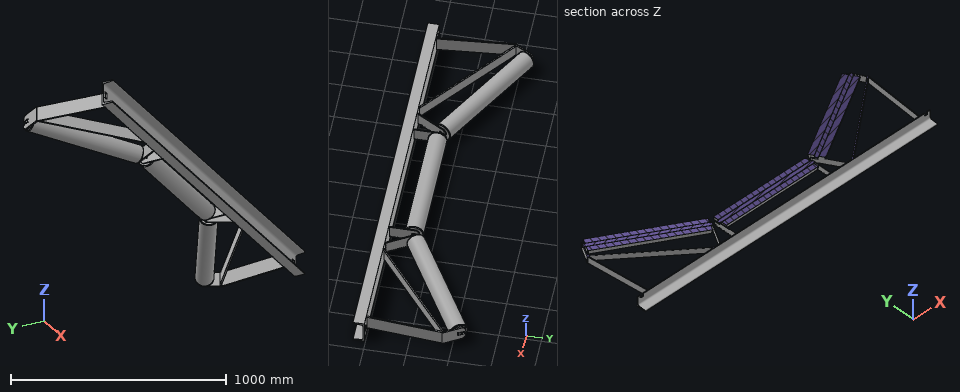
import cadquery as cq
import math


CHANNEL_LENGTH = 1900.0
CHANNEL_HEIGHT = 120.0
FLANGE_WIDTH = 55.0
WEB_THICKNESS = 7.0
FLANGE_MEAN_THICKNESS = 9.0
FLANGE_TAPER = 0.08
ROOT_RADIUS = 9.0
TOE_RADIUS = 4.5

SLOT_WIDTH = 17.0
SLOT_HEIGHT = 28.0
SLOT_END_DISTANCE = 27.0

ROLLER_DIAMETER = 90.0
ROLLER_LENGTH = 600.0
ROLLER_END_CHAMFER = 4.0
SHAFT_DIAMETER = 19.0
SHAFT_FLAT_WIDTH = 15.0
TROUGH_ANGLE = 30.0
CENTRE_ROLLER_Y = 114.0
WING_ROLLER_X = 605.0
WING_ROLLER_Y = 280.0

INNER_PLATE_WIDTH = 65.0
OUTER_PLATE_WIDTH = 75.0
INNER_PLATE_THICKNESS = 5.0
OUTER_PLATE_THICKNESS = 8.0
PLATE_GAP = 5.0
INNER_PLATE_ABOVE_AXIS = 27.0
OUTER_PLATE_ABOVE_AXIS = 28.0
PLATE_CORNER_CUT = 13.0
OUTER_PLATE_BELOW_AXIS = 87.0
LEG_FOOT_X = 882.0
BRACE_FOOT_X = 446.0
BRACE_ABOVE_LEG = 8.0
BRACE_WIDTH = 60.0

PLATE_ROOT_Y = -WEB_THICKNESS / 2
INNER_PLATE_OFFSET = ROLLER_LENGTH / 2 + PLATE_GAP + INNER_PLATE_THICKNESS / 2
OUTER_PLATE_OFFSET = ROLLER_LENGTH / 2 + PLATE_GAP + OUTER_PLATE_THICKNESS / 2
INNER_SHAFT_END = INNER_PLATE_OFFSET + INNER_PLATE_THICKNESS / 2
OUTER_SHAFT_END = OUTER_PLATE_OFFSET + OUTER_PLATE_THICKNESS / 2

ALONG = cq.Vector(math.cos(math.radians(TROUGH_ANGLE)), math.sin(math.radians(TROUGH_ANGLE)))
ACROSS = cq.Vector(-ALONG.y, ALONG.x)
WING_CENTRE = cq.Vector(WING_ROLLER_X, WING_ROLLER_Y)
CENTRE_ROLLER_CENTRE = cq.Vector(0, CENTRE_ROLLER_Y)
UP = cq.Vector(0, 1)


def mirrored(shape):
    return shape.mirror("YZ")


def place_on_wing(shape):
    """Move a body built along X about the origin to the right-hand wing position."""
    return shape.rotate((0, 0, 0), (0, 0, 1), TROUGH_ANGLE).translate(WING_CENTRE)



def channel():
    half_height = CHANNEL_HEIGHT / 2
    half_taper = FLANGE_TAPER * FLANGE_WIDTH / 2
    toe_z = half_height - FLANGE_MEAN_THICKNESS + half_taper
    root_z = toe_z - FLANGE_TAPER * (FLANGE_WIDTH - WEB_THICKNESS)
    body = (
        cq.Workplane("YZ", origin=(-CHANNEL_LENGTH / 2, 0, 0))
        .polyline([
            (0, -half_height),
            (0, half_height),
            (-FLANGE_WIDTH, half_height),
            (-FLANGE_WIDTH, toe_z),
            (-WEB_THICKNESS, root_z),
            (-WEB_THICKNESS, -root_z),
            (-FLANGE_WIDTH, -toe_z),
            (-FLANGE_WIDTH, -half_height),
        ])
        .close()
        .extrude(CHANNEL_LENGTH)
    )

    inside_corners = ((-WEB_THICKNESS, root_z, ROOT_RADIUS), (-FLANGE_WIDTH, toe_z, TOE_RADIUS))
    for y, z, radius in inside_corners:
        for side in (-1, 1):
            body = body.edges(cq.selectors.NearestToPointSelector((0, y, side * z))).fillet(radius)
    slots = (
        cq.Workplane("XZ")
        .pushPoints([(side * (CHANNEL_LENGTH / 2 - SLOT_END_DISTANCE), 0) for side in (-1, 1)])
        .rect(SLOT_WIDTH, SLOT_HEIGHT)
        .extrude(WEB_THICKNESS)
    )
    return body.cut(slots)


def plate(bottom, top, thickness, width):
    """A flat plate standing on edge, with the given centre line in the XY plane."""
    run = top - bottom
    return (
        cq.Workplane(cq.Plane(bottom, xDir=(0, 0, 1), normal=run))
        .rect(width, thickness)
        .extrude(run.Length)
    )


def shaft_plate(bottom, axis_point, above_axis, thickness, width):
    """A plate with clipped top corners and an open-topped slot that holds a shaft end."""
    up = (axis_point - bottom).normalized()
    top = axis_point + up * above_axis
    slot_bottom = axis_point - up * (SHAFT_DIAMETER / 2)
    top_face = cq.selectors.DirectionMinMaxSelector(up)
    blank = plate(bottom, top, thickness, width)
    clipped = blank.faces(top_face).edges("<Z or >Z").chamfer(PLATE_CORNER_CUT)
    return clipped.cut(plate(slot_bottom, top, thickness, SHAFT_FLAT_WIDTH))


def inner_plate(axis_point, up):
    bottom = foot_on_web(axis_point, up)
    return shaft_plate(
        bottom, axis_point, INNER_PLATE_ABOVE_AXIS, INNER_PLATE_THICKNESS, INNER_PLATE_WIDTH
    )


def outer_plate(axis_point, up):
    bottom = axis_point - up * OUTER_PLATE_BELOW_AXIS
    return shaft_plate(
        bottom, axis_point, OUTER_PLATE_ABOVE_AXIS, OUTER_PLATE_THICKNESS, OUTER_PLATE_WIDTH
    )


def foot_on_web(point, direction):
    """Where a line through the point meets the middle of the web."""
    return point - direction * ((point.y - PLATE_ROOT_Y) / direction.y)


def right_plates():
    centre_end = CENTRE_ROLLER_CENTRE + cq.Vector(INNER_PLATE_OFFSET, 0)
    wing_inner_end = WING_CENTRE - ALONG * INNER_PLATE_OFFSET
    wing_outer_end = WING_CENTRE + ALONG * OUTER_PLATE_OFFSET

    outer_plate_bottom = wing_outer_end - ACROSS * OUTER_PLATE_BELOW_AXIS
    leg_top = outer_plate_bottom + ACROSS * (OUTER_PLATE_THICKNESS / 2) - ALONG * (OUTER_PLATE_THICKNESS / 4)
    brace_top = leg_top + ACROSS * BRACE_ABOVE_LEG
    leg_foot = cq.Vector(LEG_FOOT_X, PLATE_ROOT_Y)
    brace_foot = cq.Vector(BRACE_FOOT_X, PLATE_ROOT_Y)
    return [
        inner_plate(centre_end, UP),
        inner_plate(wing_inner_end, ACROSS),
        outer_plate(wing_outer_end, ACROSS),
        plate(leg_foot, leg_top, OUTER_PLATE_THICKNESS, OUTER_PLATE_WIDTH),
        plate(brace_foot, brace_top, OUTER_PLATE_THICKNESS, BRACE_WIDTH),
    ]


def build_frame():
    body = channel()
    for piece in right_plates():
        body = body.union(piece).union(mirrored(piece))
    return body



def build_roller():
    return (
        cq.Workplane("YZ", origin=(-ROLLER_LENGTH / 2, 0, 0))
        .circle(ROLLER_DIAMETER / 2)
        .extrude(ROLLER_LENGTH)
        .faces("<X or >X")
        .chamfer(ROLLER_END_CHAMFER)
        .faces("<X")
        .workplane(centerOption="CenterOfBoundBox")
        .hole(SHAFT_DIAMETER)
    )


def build_shaft(left_end, right_end):
    """A round shaft whose ends, beyond the roller, carry two flats."""
    shaft = (
        cq.Workplane("YZ", origin=(-left_end, 0, 0))
        .circle(SHAFT_DIAMETER / 2)
        .extrude(left_end + right_end)
    )
    round_part = cq.Workplane().box(ROLLER_LENGTH, SHAFT_DIAMETER, SHAFT_DIAMETER)
    flat_part = cq.Workplane().box(2 * OUTER_SHAFT_END, SHAFT_DIAMETER, SHAFT_FLAT_WIDTH)
    return shaft.intersect(round_part.union(flat_part))


frame = build_frame()

centre_roller = build_roller().translate(CENTRE_ROLLER_CENTRE)
centre_shaft = build_shaft(INNER_SHAFT_END, INNER_SHAFT_END).translate(CENTRE_ROLLER_CENTRE)

right_roller = place_on_wing(build_roller())
right_shaft = place_on_wing(build_shaft(INNER_SHAFT_END, OUTER_SHAFT_END))

rollers = [centre_roller, right_roller, mirrored(right_roller)]
shafts = [centre_shaft, right_shaft, mirrored(right_shaft)]

result = cq.Compound.makeCompound([body.val() for body in [frame, *rollers, *shafts]])